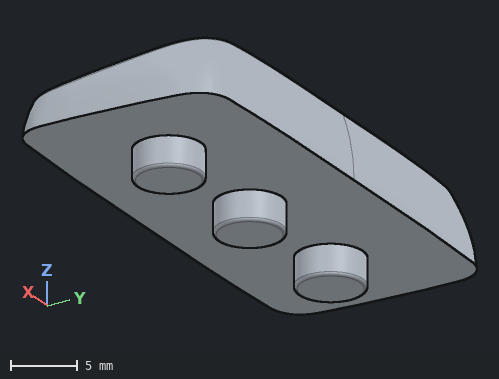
import cadquery as cq
import math

LENGTH = 41.8
WIDTH = 18.0
END_BOW = 0.15
LONG_BOW = 0.25
BASE_CORNER = 2.7
CORNER_GROWTH = 0.2

BACK_WALL_RADIUS = 16.3
FRONT_WALL_RADIUS = 8.8
END_WALL_RADIUS = 11.7
SECTION_HEIGHTS = (0.0, 2.1, 4.2, 6.27)

TOP_HEIGHT = 4.7
TOP_SLOPE = 9.4
CROWN_FLAT = 12.12
CROWN_DROP = 0.75
RIM_FILLET = 0.63

PIN_DIAMETER = 5.5
PIN_LENGTH = 2.5
PIN_PITCH = 12.05
PIN_FILLET = 0.25

OVERSIZE = 0.85


def lean(radius, height):
    """Inward offset at a height of a wall that follows an arc, vertical at the base."""
    return radius - math.sqrt(radius ** 2 - height ** 2)


def mirrored_in_x(vectors):
    """The same vectors with X reversed."""
    return [(-x, y) for x, y in vectors]


def section(height):
    """Closed plan outline at a height: two smooth mirrored halves that meet on X = 0."""
    end = LENGTH / 2 - lean(END_WALL_RADIUS, height)
    back = WIDTH / 2 - lean(BACK_WALL_RADIUS, height)
    front = -WIDTH / 2 + lean(FRONT_WALL_RADIUS, height)
    middle = (front + back) / 2
    radius = BASE_CORNER + CORNER_GROWTH * height

    corner_x = end - END_BOW - radius
    back_y = back - LONG_BOW - radius
    front_y = front + LONG_BOW + radius
    diagonal = radius * math.sqrt(0.5)

    long_slope = 3 * LONG_BOW / corner_x
    end_slope = 3 * END_BOW / (back_y - middle)

    points = [
        (0, front),
        (corner_x, front_y - radius),
        (corner_x + diagonal, front_y - diagonal),
        (corner_x + radius, front_y),
        (end, middle),
        (corner_x + radius, back_y),
        (corner_x + diagonal, back_y + diagonal),
        (corner_x, back_y + radius),
        (0, back),
    ]
    directions = [
        (1, 0),
        (1, long_slope),
        (1, 1),
        (end_slope, 1),
        (0, 1),
        (-end_slope, 1),
        (-1, 1),
        (-1, long_slope),
        (-1, 0),
    ]
    left_points = mirrored_in_x(reversed(points))
    left_directions = [(x, -y) for x, y in reversed(directions)]
    return (
        cq.Workplane("XY", origin=(0, 0, height))
        .spline(points, tangents=directions)
        .spline(left_points[1:], tangents=left_directions, includeCurrent=True)
        .wire()
        .val()
    )


def crown_block():
    """Block whose underside is the top face of the cap: level at mid length, falling at the ends."""
    half_span = LENGTH / 2 + OVERSIZE
    end_slope = 2 * CROWN_DROP / (half_span - CROWN_FLAT)
    return (
        cq.Workplane("XZ", origin=(0, WIDTH, 0))
        .spline(
            [(-half_span, -CROWN_DROP), (-CROWN_FLAT, 0), (CROWN_FLAT, 0), (half_span, -CROWN_DROP)],
            tangents=[(1, end_slope), (1, 0), (1, 0), (1, -end_slope)],
        )
        .lineTo(half_span, TOP_HEIGHT)
        .lineTo(-half_span, TOP_HEIGHT)
        .close()
        .extrude(2 * WIDTH)
        .rotate((0, 0, 0), (1, 0, 0), TOP_SLOPE)
        .translate((0, 0, TOP_HEIGHT))
    )


def cap():
    """Cap with leaning walls, sloping crowned top and a rounded rim."""
    blank = cq.Solid.makeLoft([section(height) for height in SECTION_HEIGHTS])
    trimmed = cq.Workplane(blank).cut(crown_block())
    return trimmed.faces(">Z").edges().fillet(RIM_FILLET)


def pins():
    """Row of three round pins below the base, rounded at their lower rims."""
    return (
        cq.Workplane("XY")
        .pushPoints([(-PIN_PITCH, 0), (0, 0), (PIN_PITCH, 0)])
        .circle(PIN_DIAMETER / 2)
        .extrude(-PIN_LENGTH)
        .faces("<Z")
        .edges()
        .fillet(PIN_FILLET)
    )


result = cap().union(pins())